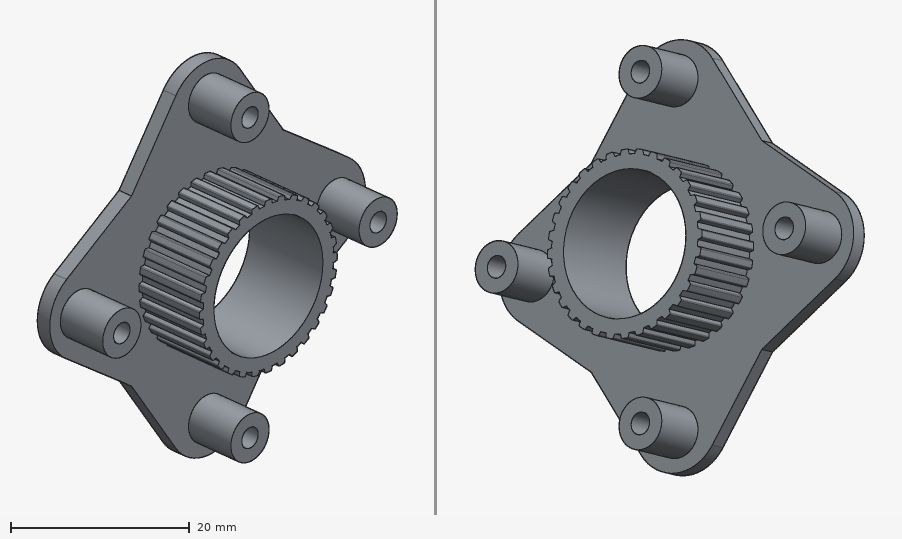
import cadquery as cq
import math

plate_span = 49.3
plate_thickness = 2.0
arm_count = 4
arm_tip_radius = 6.0
inner_corner = 11.9
bore_diameter = 17.0

post_circle_radius = 20.0
post_diameter = 5.95
post_end = 8.8
screw_hole_diameter = 2.55

pulley_end = 11.8
tooth_count = 32
tooth_tip_diameter = 21.5
tooth_depth = 0.55
tip_land = 0.95
root_land = 0.75
tip_fillet = 0.15


def polar(radius, angle):
    return (radius * math.cos(angle), radius * math.sin(angle))


def make_plate():
    tip_centre = plate_span / 2 - arm_tip_radius
    corner_direction = math.atan2(inner_corner, inner_corner - tip_centre)
    corner_distance = math.hypot(inner_corner, inner_corner - tip_centre)
    tangent_angle = corner_direction - math.acos(arm_tip_radius / corner_distance)
    tangent_along, tangent_across = polar(arm_tip_radius, tangent_angle)
    tangent_along += tip_centre

    def arm_point(along, across, turn):
        return polar(math.hypot(along, across), math.atan2(across, along) + turn)

    outline = cq.Workplane("YZ").moveTo(inner_corner, -inner_corner)
    for arm in range(arm_count):
        turn = arm * math.tau / arm_count
        outline = outline.lineTo(*arm_point(tangent_along, -tangent_across, turn))
        outline = outline.threePointArc(
            arm_point(plate_span / 2, 0, turn),
            arm_point(tangent_along, tangent_across, turn),
        )
        if arm < arm_count - 1:
            outline = outline.lineTo(*arm_point(inner_corner, inner_corner, turn))
    return outline.close().extrude(plate_thickness)


def make_cylinders_on_arms(diameter):
    """Cylinders along X from the plate's outer face to the post ends, one on each arm."""
    centres = cq.Workplane("YZ").polarArray(post_circle_radius, 0, 360, arm_count)
    return centres.circle(diameter / 2).extrude(post_end)


def make_pulley():
    tip_radius = tooth_tip_diameter / 2
    root_radius = tip_radius - tooth_depth
    pitch_angle = math.tau / tooth_count
    half_tip = tip_land / tip_radius / 2
    half_root = root_land / root_radius / 2

    outline = cq.Workplane("YZ").moveTo(*polar(tip_radius, -half_tip))
    for tooth in range(tooth_count):
        middle = tooth * pitch_angle
        gap = middle + pitch_angle / 2
        outline = outline.threePointArc(
            polar(tip_radius, middle),
            polar(tip_radius, middle + half_tip),
        )
        outline = outline.lineTo(*polar(root_radius, gap - half_root))
        outline = outline.threePointArc(
            polar(root_radius, gap),
            polar(root_radius, gap + half_root),
        )
        if tooth < tooth_count - 1:
            outline = outline.lineTo(*polar(tip_radius, middle + pitch_angle - half_tip))
    pulley = outline.close().extrude(pulley_end)

    middle_radius = (tip_radius + root_radius) / 2
    tip_corners = pulley.edges("|X").filter(
        lambda edge: math.hypot(edge.Center().y, edge.Center().z) > middle_radius
    )
    return tip_corners.fillet(tip_fillet)


bore = cq.Workplane("YZ").circle(bore_diameter / 2).extrude(pulley_end)
posts = make_cylinders_on_arms(post_diameter)
screw_holes = make_cylinders_on_arms(screw_hole_diameter)

body = make_plate().union(make_pulley()).union(posts)
result = body.cut(bore).cut(screw_holes)